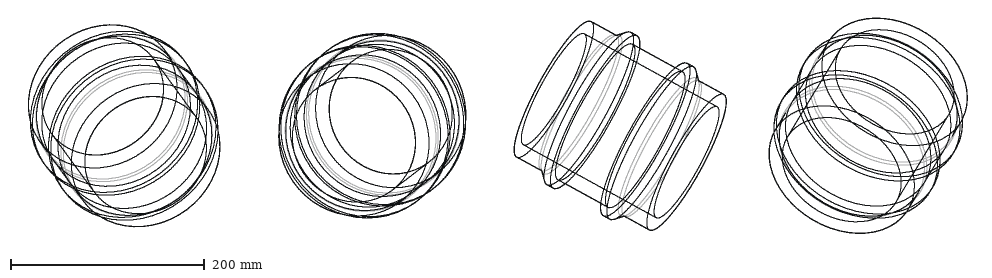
import cadquery as cq
import math

length = 160.0
tube_diameter = 160.0
bore_diameter = 130.9
collar_diameter = 180.0

rim_start = 42.1
rim_width = 7.7
cone_angle = 45.0
root_radius = 5.0

tube_radius = tube_diameter / 2
bore_radius = bore_diameter / 2
collar_radius = collar_diameter / 2
cone_length = (collar_radius - tube_radius) / math.tan(math.radians(cone_angle))


def make_cylinder(radius):
    """Cylinder along X over the full length of the sleeve."""
    return cq.Workplane("YZ").workplane(offset=-length / 2).circle(radius).extrude(length)


def make_collar():
    """Collar at the -X end: filleted root, cone, cylindrical rim, flat inner face."""
    rim_outer_x = -length / 2 + rim_start
    rim_inner_x = rim_outer_x + rim_width
    root_x = rim_outer_x - cone_length

    angle = math.radians(cone_angle)
    tangent_length = root_radius * math.tan(angle / 2)
    fillet_start = (root_x - tangent_length, tube_radius)
    fillet_middle = (
        fillet_start[0] + root_radius * math.sin(angle / 2),
        tube_radius + root_radius * (1 - math.cos(angle / 2)),
    )
    fillet_end = (
        root_x + tangent_length * math.cos(angle),
        tube_radius + tangent_length * math.sin(angle),
    )
    return (
        cq.Workplane("XY")
        .moveTo(fillet_start[0], bore_radius)
        .lineTo(*fillet_start)
        .threePointArc(fillet_middle, fillet_end)
        .lineTo(rim_outer_x, collar_radius)
        .lineTo(rim_inner_x, collar_radius)
        .lineTo(rim_inner_x, bore_radius)
        .close()
        .revolve(360, (0, 0, 0), (1, 0, 0))
    )


collar = make_collar()
body = make_cylinder(tube_radius).union(collar).union(collar.mirror("YZ"))
result = body.cut(make_cylinder(bore_radius))